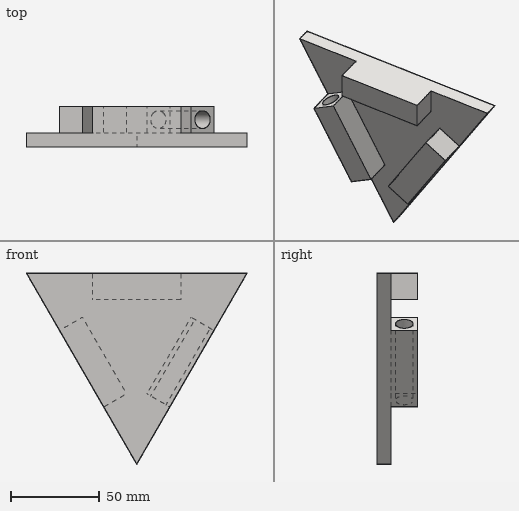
import cadquery as cq
import math

side = 125.0
plate_thickness = 8.0
block_length = 50.0
block_depth = 15.0
block_height = 15.0
hole_diameter = 10.0

triangle_height = side * math.sqrt(3) / 2
inradius = triangle_height / 3
block_middle_y = plate_thickness + block_height / 2

plate = (
    cq.Workplane("XZ")
    .polyline([(-side / 2, inradius), (side / 2, inradius), (0, inradius - triangle_height)])
    .close()
    .extrude(-plate_thickness)
)


def at_edge(shape, index):
    """Turn a shape built along the top edge onto one of the three edges."""
    return shape.rotate((0, 0, 0), (0, 1, 0), index * 120)


top_block = cq.Workplane("XY").box(block_length, block_height, block_depth).translate(
    (0, block_middle_y, inradius - block_depth / 2)
)

top_bore = (
    cq.Workplane("YZ", origin=(-block_length / 2, block_middle_y, inradius - block_depth / 2))
    .circle(hole_diameter / 2)
    .extrude(block_length)
)

result = plate
for edge in range(3):
    result = result.union(at_edge(top_block, edge))

bored_edge = 1
result = result.cut(at_edge(top_bore, bored_edge))